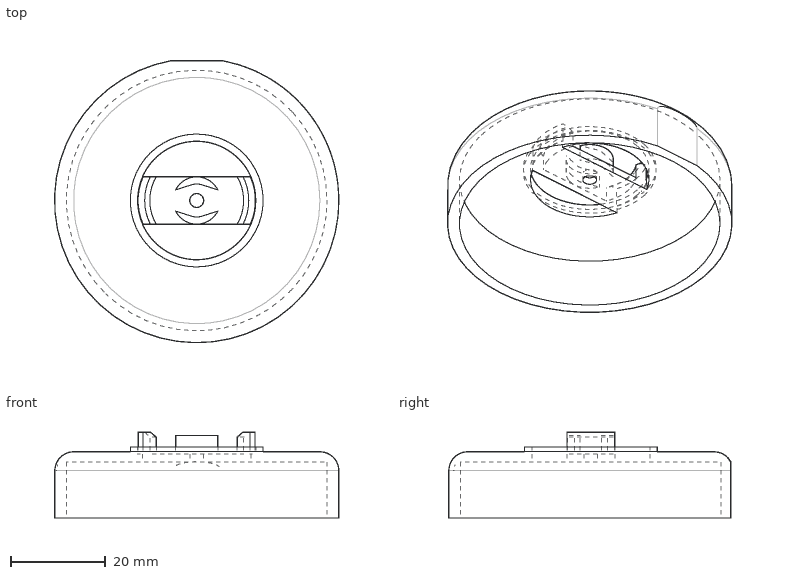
import cadquery as cq
import math

cover_radius = 30.0
cover_height = 14.05
rim_round = 4.0
side_wall = 2.5
ceiling_z = 11.8
flat_y = 29.5

collar_radius = 14.01
collar_top = 15.05
opening_radius = 12.5

bridge_width = 10.1
bridge_top = 13.55
center_hole_diameter = 2.9

clip_outer_radius = 12.35
clip_inner_radius = 9.9
clip_top = 18.2
clip_chamfer = 1.1

crescent_radius = 5.0
crescent_tip_x = 4.45
crescent_tip_y = math.sqrt(crescent_radius**2 - crescent_tip_x**2)
crescent_top = 17.45
crescent_nose_x = 0.9
crescent_nose_y = 3.35
crescent_nose_peak = 3.5


def cylinder(radius, bottom, top):
    return cq.Workplane("XY").workplane(offset=bottom).circle(radius).extrude(top - bottom)


def bridge_strip(bottom, top):
    """Strip along X, as wide as the bridge and as long as the opening's collar."""
    strip = cq.Workplane("XY").workplane(offset=bottom)
    return strip.rect(2 * collar_radius, bridge_width).extrude(top - bottom)


def make_cover():
    cover = cylinder(cover_radius, 0, cover_height).faces(">Z").edges().fillet(rim_round)
    beyond_flat = cq.Workplane("XY").box(
        2 * cover_radius, cover_radius, cover_height, centered=(True, False, False)
    )
    cover = cover.cut(beyond_flat.translate((0, flat_y, 0)))
    cover = cover.union(cylinder(collar_radius, ceiling_z, collar_top))
    cover = cover.cut(cylinder(cover_radius - side_wall, 0, ceiling_z))
    return cover.cut(cylinder(opening_radius, ceiling_z, collar_top))


def make_bridge():
    bridge = bridge_strip(ceiling_z, bridge_top)
    bridge = bridge.intersect(cylinder(collar_radius, ceiling_z, bridge_top))
    return bridge.cut(cylinder(center_hole_diameter / 2, ceiling_z, bridge_top))


def make_clips():
    ring = (
        cq.Workplane("XZ")
        .moveTo(clip_inner_radius, ceiling_z)
        .lineTo(clip_outer_radius, ceiling_z)
        .lineTo(clip_outer_radius, clip_top)
        .lineTo(clip_inner_radius + clip_chamfer, clip_top)
        .lineTo(clip_inner_radius, clip_top - clip_chamfer)
        .close()
        .revolve(360, (0, 0, 0), (0, 1, 0))
    )
    return ring.intersect(bridge_strip(ceiling_z, clip_top))


def make_crescent():
    return (
        cq.Workplane("XY")
        .workplane(offset=ceiling_z)
        .moveTo(-crescent_tip_x, crescent_tip_y)
        .threePointArc((0, crescent_radius), (crescent_tip_x, crescent_tip_y))
        .lineTo(crescent_nose_x, crescent_nose_y)
        .threePointArc((0, crescent_nose_peak), (-crescent_nose_x, crescent_nose_y))
        .close()
        .extrude(crescent_top - ceiling_z)
    )


result = make_cover().union(make_bridge()).union(make_clips())
for angle in (0, 180):
    result = result.union(make_crescent().rotate((0, 0, 0), (0, 0, 1), angle))